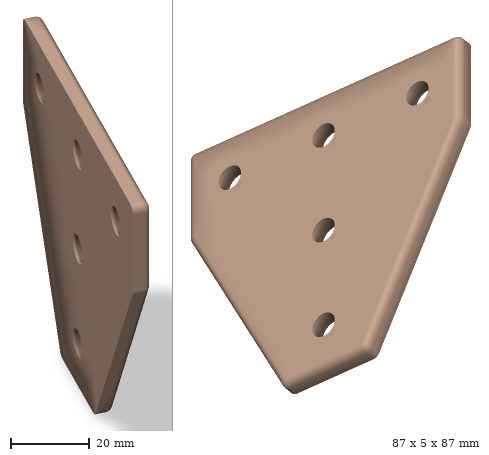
import cadquery as cq

size = 87.0
thickness = 5.0
end_length = 27.0
edge_radius = 2.0
hole_pitch = 30.0
hole_diameter = 7.1
hole_chamfer = 0.4
edge_to_hole = 13.5

half = size / 2
half_bottom = end_length / 2
shoulder_z = half - end_length
top_hole_z = half - edge_to_hole
front_y = -thickness / 2


def make_plate():
    """Plate with rounded corners and a rounded +Y rim."""
    outline = [
        (-half, half),
        (half, half),
        (half, shoulder_z),
        (half_bottom, -half),
        (-half_bottom, -half),
        (-half, shoulder_z),
    ]
    plate = (
        cq.Workplane("XZ", origin=(0, front_y, 0))
        .polyline(outline)
        .close()
        .extrude(-thickness)
    )
    plate = plate.edges("|Y").fillet(edge_radius)
    return plate.faces(">Y").edges().fillet(edge_radius)


def make_hole_cutter(x, z):
    """Through hole along Y, with a chamfered mouth in the -Y face."""
    bore = (
        cq.Workplane("XZ", origin=(x, front_y, z))
        .circle(hole_diameter / 2)
        .extrude(-thickness)
    )
    mouth = (
        cq.Workplane("XZ", origin=(x, front_y, z))
        .circle(hole_diameter / 2 + hole_chamfer)
        .extrude(-hole_chamfer, taper=45)
    )
    return bore.union(mouth)


hole_places = [
    (-hole_pitch, top_hole_z),
    (0, top_hole_z),
    (hole_pitch, top_hole_z),
    (0, top_hole_z - hole_pitch),
    (0, top_hole_z - 2 * hole_pitch),
]

result = make_plate()
for hole_x, hole_z in hole_places:
    result = result.cut(make_hole_cutter(hole_x, hole_z))